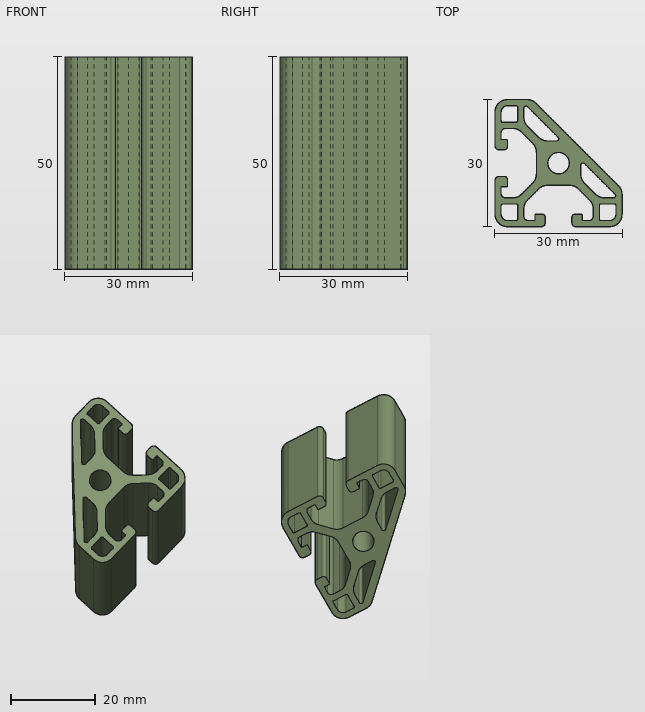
import cadquery as cq
import math

side = 30.0
length = 50.0
half = side / 2
bore_diameter = 5.0

wall = 1.5
inclined_wall = 2.0
core_half = 5.25
hypotenuse_sum = 8.8

slot_half_width = 8.15
mouth_half_width = 3.1
lip_width = 2.5
lip_depth = 3.0

outer_radius = 3.0
rib_radius = 3.0
slot_floor_radius = 1.0
lip_outer_radius = 1.0
lip_tip_radius = 0.8
lip_back_radius = 0.3
cell_radius = 0.3
triangle_tip_radius = 0.5
sharp = 0.0

rib_offset = inclined_wall / math.sqrt(2)
cell_inner = slot_half_width + wall
cell_outer = half - wall
lip_tip = half - lip_depth
lip_back = mouth_half_width + lip_width


def rounded_outline(corners):
    """Closed outline through (x, y, radius) corners, each rounded by a tangent arc of that radius."""
    stretches = []
    for index, (x, y, radius) in enumerate(corners):
        corner = cq.Vector(x, y)
        before = corners[index - 1]
        after = corners[(index + 1) % len(corners)]
        to_before = (cq.Vector(before[0], before[1]) - corner).normalized()
        to_after = (cq.Vector(after[0], after[1]) - corner).normalized()
        half_angle = to_before.getAngle(to_after) / 2
        setback = radius / math.tan(half_angle)
        bisector = (to_before + to_after).normalized()
        arc_middle = corner + bisector * (radius / math.sin(half_angle) - radius)
        stretches.append((corner + to_before * setback, arc_middle, corner + to_after * setback, radius))

    outline = cq.Workplane("XY").moveTo(*stretches[0][2].toTuple()[:2])
    for start, middle, end, radius in stretches[1:] + stretches[:1]:
        outline = outline.lineTo(start.x, start.y)
        if radius > sharp:
            outline = outline.threePointArc((middle.x, middle.y), (end.x, end.y))
    return outline.close()


def swap_axes(corners):
    """Mirror corners across the line Y = X."""
    return [(y, x, radius) for x, y, radius in corners]


def bottom_slot_corners():
    """Corners of the T-slot that opens towards -Y, from its -X lip to its +X lip."""
    left_half = [
        (-mouth_half_width, -half, lip_outer_radius),
        (-mouth_half_width, -lip_tip, lip_tip_radius),
        (-lip_back, -lip_tip, lip_back_radius),
        (-lip_back, -cell_outer, sharp),
        (-slot_half_width, -cell_outer, slot_floor_radius),
        (-slot_half_width, -slot_half_width - rib_offset, rib_radius),
        (-core_half + rib_offset, -core_half, rib_radius),
    ]
    right_half = [(-x, y, radius) for x, y, radius in reversed(left_half)]
    return left_half + right_half


def outer_body():
    """Triangular bar with a T-slot in each of its two square sides."""
    slope_end = hypotenuse_sum - half
    slot = bottom_slot_corners()
    corners = [(-half, -half, outer_radius)]
    corners += slot
    corners += [
        (half, -half, outer_radius),
        (half, slope_end, outer_radius),
        (slope_end, half, outer_radius),
        (-half, half, outer_radius),
    ]
    corners += reversed(swap_axes(slot))
    return rounded_outline(corners).extrude(length)


def corner_cell(x_sign, y_sign):
    """Square hollow in one corner of the bar."""
    corners = [
        (x_sign * cell_inner, y_sign * cell_inner, cell_radius),
        (x_sign * cell_outer, y_sign * cell_inner, cell_radius),
        (x_sign * cell_outer, y_sign * cell_outer, outer_radius - wall),
        (x_sign * cell_inner, y_sign * cell_outer, cell_radius),
    ]
    return rounded_outline(corners).extrude(length)


def upper_triangle_corners():
    """Corners of the hollow between the sloping wall and the rib to the -X +Y corner."""
    inner_sum = hypotenuse_sum - inclined_wall * math.sqrt(2)
    return [
        (-slot_half_width, slot_half_width + rib_offset, rib_radius),
        (-core_half + rib_offset, core_half, rib_radius),
        (inner_sum - core_half, core_half, triangle_tip_radius),
        (-slot_half_width, inner_sum + slot_half_width, triangle_tip_radius),
    ]


def bore():
    return cq.Workplane("XY").circle(bore_diameter / 2).extrude(length)


result = outer_body().cut(bore())
for x_sign, y_sign in [(-1, -1), (1, -1), (-1, 1)]:
    result = result.cut(corner_cell(x_sign, y_sign))
for triangle in [upper_triangle_corners(), swap_axes(upper_triangle_corners())]:
    result = result.cut(rounded_outline(triangle).extrude(length))